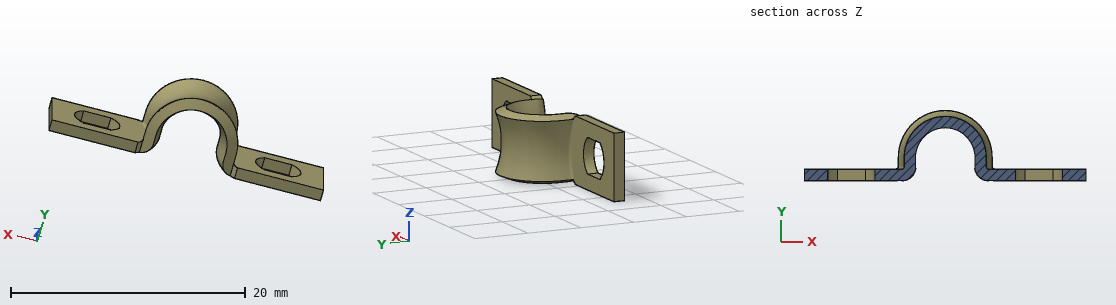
import math

import cadquery as cq


thickness = 1.0
strip_width = 6.0
length = 24.0

hoop_center_y = 2.0
waist_radius = 2.5

bow_inner_radius = 8.0
bow_outer_radius = bow_inner_radius - thickness
bow_center_x = waist_radius + bow_inner_radius
bow_angle = math.asin(strip_width / 2 / bow_inner_radius)

bend_outer_radius = 0.2
bend_inner_radius = bend_outer_radius + thickness
bend_end_radius = bow_inner_radius - bend_inner_radius

slot_x = 8.0
slot_length = 4.0
slot_height = 3.2


def bow_point(radius, angle):
    """Point in the X-Z plane at a radius and angle about the bow centre, measured from -X."""
    return (bow_center_x - radius * math.cos(angle), radius * math.sin(angle))


def make_hoop():
    """Half hoop swept by the bowed strip section."""
    return (
        cq.Workplane("XZ", origin=(0, hoop_center_y, 0))
        .moveTo(*bow_point(bow_inner_radius, -bow_angle))
        .threePointArc(bow_point(bow_inner_radius, 0), bow_point(bow_inner_radius, bow_angle))
        .lineTo(*bow_point(bow_outer_radius, bow_angle))
        .threePointArc(bow_point(bow_outer_radius, 0), bow_point(bow_outer_radius, -bow_angle))
        .close()
        .revolve(180, (0, 0), (0, 1))
    )


def make_cup():
    """Leg, bend and ear revolved about the bow axis, not yet trimmed to outline."""
    axis_x = bow_center_x
    leg_inner_x = axis_x - bow_inner_radius
    leg_outer_x = axis_x - bow_outer_radius
    bend_x = axis_x - bend_end_radius
    diagonal = math.cos(math.radians(45))
    return (
        cq.Workplane("XY")
        .moveTo(axis_x, 0)
        .lineTo(bend_x, 0)
        .threePointArc(
            (bend_x - bend_inner_radius * diagonal, bend_inner_radius * (1 - diagonal)),
            (leg_inner_x, bend_inner_radius),
        )
        .lineTo(leg_inner_x, hoop_center_y)
        .lineTo(leg_outer_x, hoop_center_y)
        .lineTo(leg_outer_x, bend_inner_radius)
        .threePointArc(
            (bend_x - bend_outer_radius * diagonal, bend_inner_radius - bend_outer_radius * diagonal),
            (bend_x, thickness),
        )
        .lineTo(axis_x, thickness)
        .close()
        .revolve(360, (axis_x, 0), (axis_x, 1))
    )


def make_outline():
    """Prism along Y with the ear's outline: square outer end, V notches where the narrower leg bends away."""
    half_width = strip_width / 2
    beyond = bow_inner_radius + thickness
    inner_x, inner_z = bow_point(beyond, bow_angle)
    leg_x, leg_z = bow_point(bow_outer_radius, bow_angle)
    ear_x = bow_center_x - math.sqrt(bend_end_radius**2 - half_width**2)
    half = (
        cq.Workplane("XZ")
        .moveTo(inner_x, 0)
        .lineTo(inner_x, inner_z)
        .lineTo(leg_x, leg_z)
        .lineTo(ear_x, half_width)
        .lineTo(length / 2, half_width)
        .lineTo(length / 2, 0)
        .close()
        .extrude(-hoop_center_y)
    )
    return half.union(half.mirror("XY"))


def make_slot():
    """Round hole with flats above and below."""
    hole = cq.Workplane("XZ").center(slot_x, 0).circle(slot_length / 2).extrude(-thickness)
    flats = cq.Workplane("XZ").center(slot_x, 0).rect(slot_length, slot_height).extrude(-thickness)
    return hole.intersect(flats)


side = make_cup().intersect(make_outline()).cut(make_slot())
result = make_hoop().union(side).union(side.mirror("YZ"))